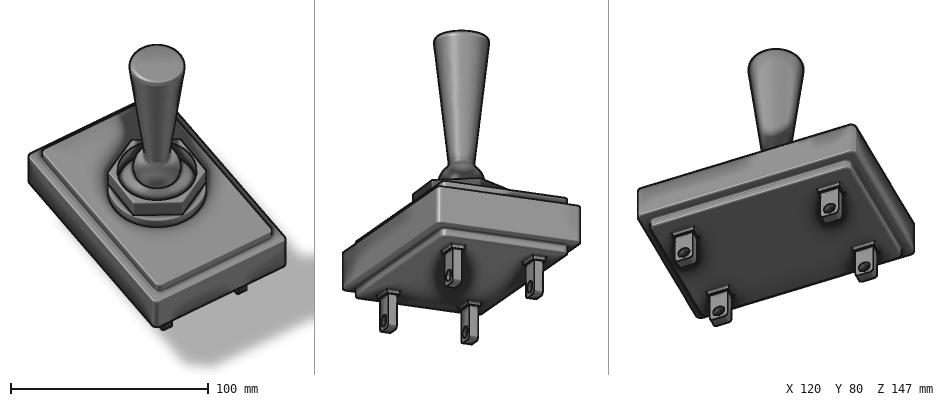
import cadquery as cq


EDGE_ROUND = 1.0

BLOCK_X = 120.0
BLOCK_Y = 80.0
BLOCK_HEIGHT = 20.0
STEP = 5.0
CORNER_RADIUS = 3.0
BOSS_MARGIN = 1.0
BOSS_HEIGHT = 2.0
BOSS_FLARE = 0.5

TERMINAL_WIDTH = 10.0
TERMINAL_THICKNESS = 5.0
TERMINAL_REACH = 20.0
TERMINAL_X = 40.0
TERMINAL_Y = 22.5
TERMINAL_HOLE_DIAMETER = 6.0
TERMINAL_HOLE_ABOVE_TIP = 5.0
TERMINAL_TIP_RADIUS = 2.0

FLANGE_RADIUS = 25.0
FLANGE_HEIGHT = 5.0
FLANGE_ROUND = 0.5
DOME_RADIUS = 22.6

NUT_BORE_RADIUS = 20.0
NUT_HEIGHT = 10.0
NUT_TURN = -1.5

BALL_RADIUS = 12.0
BALL_ABOVE_NUT = 3.1
NECK_RADIUS = 6.6
NECK_ABOVE_BALL = 12.0
HANDLE_TOP_RADIUS = 14.4
HANDLE_ROUND = 3.0
OVERALL_HEIGHT = 147.0

RIM_MARGIN = 0.1

BLOCK_BOTTOM = STEP
BLOCK_TOP = BLOCK_BOTTOM + BLOCK_HEIGHT
HOUSING_TOP = BLOCK_TOP + STEP
FLANGE_TOP = HOUSING_TOP + FLANGE_HEIGHT
NUT_TOP = FLANGE_TOP + NUT_HEIGHT
BALL_CENTRE = NUT_TOP + BALL_ABOVE_NUT
NECK_LEVEL = BALL_CENTRE + NECK_ABOVE_BALL
HANDLE_TOP = OVERALL_HEIGHT - TERMINAL_REACH
DOME_CENTRE = BLOCK_TOP

TERMINAL_POINTS = [(x, y) for x in (-TERMINAL_X, TERMINAL_X) for y in (-TERMINAL_Y, TERMINAL_Y)]


def rounded_block(size_x, size_y, bottom, height):
    """Box with rounded vertical corners and rounded top and bottom rims."""
    box = cq.Workplane("XY", origin=(0, 0, bottom)).rect(size_x, size_y).extrude(height)
    return box.edges("|Z").fillet(CORNER_RADIUS).faces("<Z or >Z").edges().fillet(EDGE_ROUND)


def rim_at(level, half_x, half_y, x=0, y=0):
    """Selector of the edges at one level that lie within a rectangle centred on (x, y)."""
    reach_x = half_x + RIM_MARGIN
    reach_y = half_y + RIM_MARGIN
    return cq.selectors.BoxSelector(
        (x - reach_x, y - reach_y, level - RIM_MARGIN),
        (x + reach_x, y + reach_y, level + RIM_MARGIN),
        boundingbox=True,
    )


def make_housing():
    plinth_x = BLOCK_X - 2 * STEP
    plinth_y = BLOCK_Y - 2 * STEP
    boss_x = TERMINAL_WIDTH + 2 * BOSS_MARGIN
    boss_y = TERMINAL_THICKNESS + 2 * BOSS_MARGIN

    housing = rounded_block(BLOCK_X, BLOCK_Y, BLOCK_BOTTOM, BLOCK_HEIGHT)
    housing = housing.union(rounded_block(plinth_x, plinth_y, 0, HOUSING_TOP))
    for level in (BLOCK_BOTTOM, BLOCK_TOP):
        housing = housing.edges(rim_at(level, plinth_x / 2, plinth_y / 2)).fillet(EDGE_ROUND)

    bosses = cq.Workplane("XY").pushPoints(TERMINAL_POINTS).rect(boss_x, boss_y).extrude(-BOSS_HEIGHT)
    housing = housing.union(bosses)
    for x, y in TERMINAL_POINTS:
        housing = housing.edges(rim_at(0, boss_x / 2, boss_y / 2, x, y)).fillet(BOSS_FLARE)
    return housing


def make_ball():
    return cq.Workplane("XY", origin=(0, 0, BALL_CENTRE)).sphere(BALL_RADIUS)


def make_bushing():
    """Flange and dome, with a spherical socket for the ball of the lever."""
    flange = cq.Workplane("XY", origin=(0, 0, HOUSING_TOP)).circle(FLANGE_RADIUS).extrude(FLANGE_HEIGHT)
    flange = flange.faces(">Z").edges().fillet(FLANGE_ROUND)
    core = cq.Workplane("XY", origin=(0, 0, HOUSING_TOP)).circle(NUT_BORE_RADIUS).extrude(DOME_RADIUS)
    dome = cq.Workplane("XY", origin=(0, 0, DOME_CENTRE)).sphere(DOME_RADIUS)
    return flange.union(core.intersect(dome)).cut(make_ball())


def make_nut():
    nut = (
        cq.Workplane("XY", origin=(0, 0, FLANGE_TOP))
        .polygon(6, 2 * FLANGE_RADIUS)
        .extrude(NUT_HEIGHT)
        .edges("|Z")
        .fillet(EDGE_ROUND)
        .faces("<Z or >Z")
        .edges()
        .fillet(EDGE_ROUND)
    )
    bore = cq.Workplane("XY", origin=(0, 0, FLANGE_TOP)).circle(NUT_BORE_RADIUS).extrude(NUT_HEIGHT)
    return nut.cut(bore).rotate((0, 0, 0), (0, 0, 1), NUT_TURN)


def make_lever():
    handle = (
        cq.Workplane("XZ")
        .moveTo(0, BALL_CENTRE)
        .lineTo(NECK_RADIUS, BALL_CENTRE)
        .lineTo(NECK_RADIUS, NECK_LEVEL)
        .lineTo(HANDLE_TOP_RADIUS, HANDLE_TOP)
        .lineTo(0, HANDLE_TOP)
        .close()
        .revolve(360, (0, 0, 0), (0, 1, 0))
        .faces(">Z")
        .edges()
        .fillet(HANDLE_ROUND)
    )
    lever = handle.union(make_ball())
    root_level = BALL_CENTRE + (BALL_RADIUS**2 - NECK_RADIUS**2) ** 0.5
    return lever.edges(rim_at(root_level, NECK_RADIUS, NECK_RADIUS)).fillet(HANDLE_ROUND)


def make_terminal(x, y):
    tab = (
        cq.Workplane("XY", origin=(x, y, -TERMINAL_REACH))
        .rect(TERMINAL_WIDTH, TERMINAL_THICKNESS)
        .extrude(TERMINAL_REACH - BOSS_HEIGHT)
        .faces("<Z")
        .edges("|Y")
        .fillet(TERMINAL_TIP_RADIUS)
    )
    hole = (
        cq.Workplane("XZ", origin=(x, y, TERMINAL_HOLE_ABOVE_TIP - TERMINAL_REACH))
        .circle(TERMINAL_HOLE_DIAMETER / 2)
        .extrude(TERMINAL_THICKNESS, both=True)
    )
    return tab.cut(hole)


housing = make_housing()
bushing = make_bushing()
nut = make_nut()
lever = make_lever()
terminals = [make_terminal(x, y) for x, y in TERMINAL_POINTS]

result = cq.Compound.makeCompound([
    housing.val(),
    bushing.val(),
    nut.val(),
    lever.val(),
    *[terminal.val() for terminal in terminals],
])